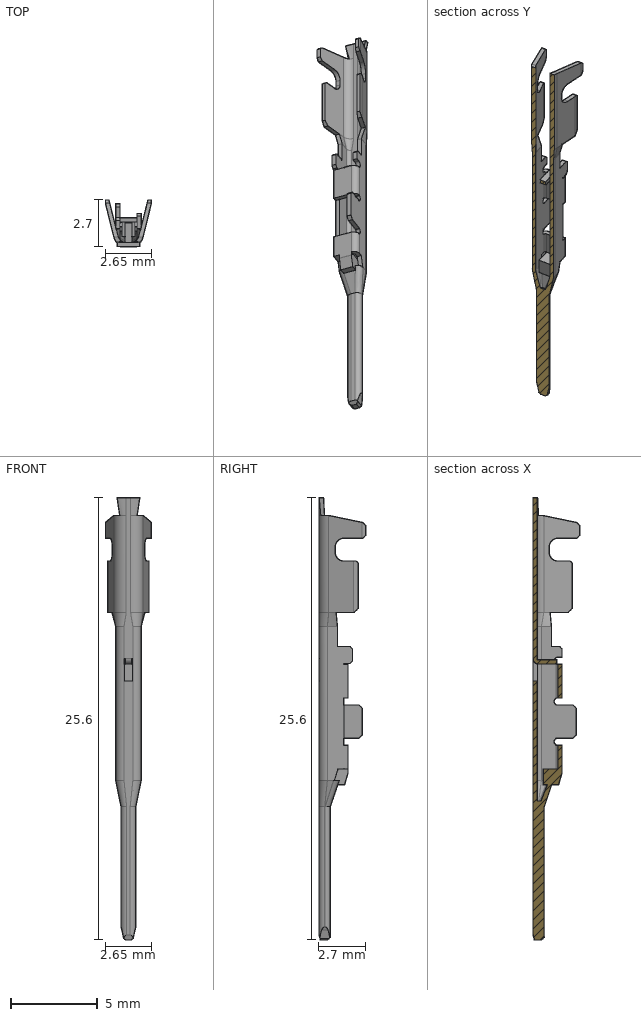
import cadquery as cq
import math


SHEET = 0.25
TOTAL_HEIGHT = 25.57
TOTAL_DEPTH = 2.7
TOTAL_WIDTH = 2.65
REACH = 5.11
DIAGONAL = math.sqrt(0.5)

TIP_TOP = 0.6
PIN_TOP = 7.72
TAPER_TOP = 9.23
BODY_TOP = 18.13
BARREL_BOTTOM = 18.92
BARREL_TOP = 24.55

PIN_FLAT = 0.1
PIN_RADIUS = 0.33
PIN_DEPTH = 0.66
PIN_BACK_RADIUS = 0.3
TIP_HALF_WIDTH = 0.28
TIP_END_HALF = 0.15
TIP_END_BEVEL = 0.1
TIP_FACET_RISE = 0.18
TIP_SHOULDER_INSET = 0.05
TIP_BACK_BEVEL = 0.18
TIP_FRONT_INSET = 0.08
TIP_FRONT_RISE = 0.3

BODY_FLAT = 0.25
BODY_RADIUS = 0.49
BODY_HALF = BODY_FLAT + BODY_RADIUS
TAPER_DEPTH = 1.18
TAPER_BACK_RADIUS = 0.33
TAPER_FLOOR = 8.05
HOLLOW_TIP_HALF = 0.15
HOLLOW_TIP_BACK = 0.45
HOLLOW_TIP_RADIUS = 0.08

WALL_LOW = 1.07
RELIEF_DEPTH = 1.23
RELIEF_HEIGHT = 0.38
ROOF_DEPTH = 1.7
ROOF_RADIUS = 0.35
ROOF_SPANS = [(9.9, 11.28), (13.99, 15.95)]
TALL_TAB_DEPTH = 2.5
TALL_TAB_CORNER = 0.2
SHORT_TAB_DEPTH = 1.95
SHORT_TAB_BOTTOM = 15.98
TAB_TOP = 16.98
TAB_CORNER = 0.15
WALL_FOOT_TOP = 1.1
WALL_FOOT_BOTTOM = 0.9

STOP_HALF = 0.38
STOP_FRONT = 0.6
STOP_BOTTOM = 8.98
STOP_STRAIGHT = 0.23
STOP_END_DEPTH = 1.48

WINDOW_BOTTOM = 14.98
WINDOW_TOP = 16.25
WINDOW_HALF = 0.23
LANCE_HALF = 0.192
LANCE_DEPTH = 1.38
LANCE_RADIUS = 0.3

BARREL_FLAT = 0.13
BARREL_RADIUS = 0.75
BARREL_LEAN = 14.0
NECK_DEPTH = 1.0
WING_BOTTOM = 23.22
WING_TIP_TOP = 24.15
WING_CORNER = 0.18
GRIP_TOP = 21.91
GRIP_DEPTH = 2.28
GRIP_HALF_WIDTH = 1.2
GRIP_LOWER_CORNER = 0.25
GRIP_UPPER_CORNER = 0.13
NOTCH_DEPTH = 0.95
NOTCH_RADIUS = 0.49

FLARE_BASE_HALF = 0.5
FLARE_TOP_HALF = 0.66
FLARE_TOP_RADIUS = 7.67


def channel(z, flat, radius, sweep, wall_depth=0.0):
    """Closed sketch of a bent strip of sheet: front flat, two arcs, optional walls up to wall_depth."""
    angle = math.radians(sweep)

    def arc_point(r, turn):
        return (flat + r * math.sin(turn), radius - r * math.cos(turn))

    inner_radius = radius - SHEET
    outer_end = arc_point(radius, angle)
    inner_end = arc_point(inner_radius, angle)

    def wall_top(start):
        rise = wall_depth - start[1]
        return (start[0] + rise / math.tan(angle), wall_depth)

    def mirror(point):
        return (-point[0], point[1])

    outer_mid = arc_point(radius, angle / 2)
    inner_mid = arc_point(inner_radius, angle / 2)
    sketch = cq.Workplane("XY", origin=(0, 0, z)).moveTo(-flat, 0).lineTo(flat, 0)
    sketch = sketch.threePointArc(outer_mid, outer_end)
    if wall_depth:
        sketch = sketch.lineTo(*wall_top(outer_end)).lineTo(*wall_top(inner_end))
    sketch = sketch.lineTo(*inner_end).threePointArc(inner_mid, (flat, SHEET)).lineTo(-flat, SHEET)
    sketch = sketch.threePointArc(mirror(inner_mid), mirror(inner_end))
    if wall_depth:
        sketch = sketch.lineTo(*mirror(wall_top(inner_end))).lineTo(*mirror(wall_top(outer_end)))
    sketch = sketch.lineTo(*mirror(outer_end)).threePointArc(mirror(outer_mid), (-flat, 0))
    return sketch.close()


def rounded_box(z, flat, front_radius, depth, back_radius, front=0.0):
    """Closed sketch of a box with its own corner radii at the front and the back."""
    half = flat + front_radius
    back_flat = half - back_radius
    front_side = front + front_radius
    back_side = depth - back_radius
    front_mid = (flat + front_radius * DIAGONAL, front_side - front_radius * DIAGONAL)
    back_mid = (back_flat + back_radius * DIAGONAL, back_side + back_radius * DIAGONAL)
    return (
        cq.Workplane("XY", origin=(0, 0, z))
        .moveTo(-flat, front)
        .lineTo(flat, front)
        .threePointArc(front_mid, (half, front_side))
        .lineTo(half, back_side)
        .threePointArc(back_mid, (back_flat, depth))
        .lineTo(-back_flat, depth)
        .threePointArc((-back_mid[0], back_mid[1]), (-half, back_side))
        .lineTo(-half, front_side)
        .threePointArc((-front_mid[0], front_mid[1]), (-flat, front))
        .close()
    )


def loft(lower, upper):
    """Ruled solid between two closed sketches."""
    wires = [sketch.wires().val() for sketch in (lower, upper)]
    return cq.Workplane(cq.Solid.makeLoft(wires, True))


def side_block(outline, x_start, x_end):
    """Block with a (y, z) outline that runs from x_start to x_end."""
    sketch = cq.Workplane("YZ", origin=(x_start, 0, 0)).polyline(outline).close()
    return sketch.extrude(x_end - x_start)


def block(x_range, y_range, z_range):
    """Axis-aligned box between pairs of limits."""
    spans = [high - low for low, high in (x_range, y_range, z_range)]
    corner = (x_range[0], y_range[0], z_range[0])
    return cq.Workplane("XY").box(*spans, centered=False).translate(corner)


def make_pin():
    pin = rounded_box(0, PIN_FLAT, PIN_RADIUS, PIN_DEPTH, PIN_BACK_RADIUS).extrude(PIN_TOP)
    half = PIN_FLAT + PIN_RADIUS
    right_edge = [
        (TIP_END_HALF, 0), (TIP_HALF_WIDTH, TIP_END_BEVEL), (half - TIP_SHOULDER_INSET, TIP_TOP),
        (half, TIP_TOP + TIP_FACET_RISE), (half, PIN_TOP),
    ]
    left_edge = [(-x, z) for x, z in reversed(right_edge)]
    bevelled_sides = cq.Workplane("XZ").polyline(right_edge + left_edge).close().extrude(-REACH)
    side_outline = [
        (TIP_FRONT_INSET, 0), (PIN_DEPTH - TIP_BACK_BEVEL, 0), (PIN_DEPTH, TIP_BACK_BEVEL),
        (PIN_DEPTH, PIN_TOP), (0, PIN_TOP), (0, TIP_FRONT_RISE),
    ]
    return pin.intersect(bevelled_sides).intersect(side_block(side_outline, -REACH, REACH))


def make_taper():
    outside = loft(
        rounded_box(PIN_TOP, PIN_FLAT, PIN_RADIUS, PIN_DEPTH, PIN_BACK_RADIUS),
        rounded_box(TAPER_TOP, BODY_FLAT, BODY_RADIUS, TAPER_DEPTH, TAPER_BACK_RADIUS),
    )
    hollow = loft(
        rounded_box(TAPER_FLOOR, HOLLOW_TIP_HALF - HOLLOW_TIP_RADIUS, HOLLOW_TIP_RADIUS,
                    HOLLOW_TIP_BACK, HOLLOW_TIP_RADIUS, SHEET),
        rounded_box(TAPER_TOP, BODY_FLAT, BODY_RADIUS - SHEET, TAPER_DEPTH - SHEET,
                    TAPER_BACK_RADIUS - SHEET, SHEET),
    )
    return outside.cut(hollow)


def tab_outline(bottom, top, root_depth, depth, corner):
    """Points of a tab with cut corners that rises from root_depth, listed from top to bottom."""
    return [(root_depth, top), (depth - corner, top), (depth, top - corner),
            (depth, bottom + corner), (depth - corner, bottom), (root_depth, bottom)]


def make_body():
    outer_channel = channel(TAPER_TOP, BODY_FLAT, BODY_RADIUS, 90, REACH).extrude(BODY_TOP - TAPER_TOP)
    (lower_start, lower_end), (upper_start, upper_end) = ROOF_SPANS
    roof_root = ROOF_DEPTH - ROOF_RADIUS
    wall_under_roof = ROOF_DEPTH - SHEET
    relief_bottoms = [lower_end, upper_start - RELIEF_HEIGHT, upper_end]
    tall_tab_bottom = lower_end + RELIEF_HEIGHT
    tall_tab_top = upper_start - RELIEF_HEIGHT

    head = [(0, TAPER_TOP), (0, BODY_TOP), (WALL_LOW, BODY_TOP), (WALL_LOW, TAB_TOP)]
    foot = [(WALL_FOOT_TOP, lower_start), (WALL_FOOT_BOTTOM, TAPER_TOP)]
    catch = tab_outline(upper_end, TAB_TOP, roof_root, ROOF_DEPTH, TAB_CORNER)
    tall_tab = tab_outline(tall_tab_bottom, tall_tab_top, roof_root, TALL_TAB_DEPTH, TALL_TAB_CORNER)
    short_tab = tab_outline(SHORT_TAB_BOTTOM, TAB_TOP, wall_under_roof, SHORT_TAB_DEPTH, TAB_CORNER)
    left_outline = head + catch + tall_tab + [(roof_root, lower_start)] + foot
    right_outline = head + short_tab + [(wall_under_roof, lower_start)] + foot

    left_wall = outer_channel.intersect(side_block(left_outline, -REACH, 0))
    for bottom in relief_bottoms:
        left_wall = left_wall.cut(make_relief(bottom))
    right_wall = outer_channel.intersect(side_block(right_outline, 0, REACH))
    body = left_wall.union(right_wall)
    for start, end in ROOF_SPANS:
        body = body.union(make_roof(start, end))
    return add_lance(body.union(make_stop(lower_start)))


def make_relief(bottom):
    """Round-ended notch through the left wall, open at the back."""
    radius = RELIEF_HEIGHT / 2
    centre = (RELIEF_DEPTH + radius, bottom + radius)
    round_end = cq.Workplane("YZ", origin=(-REACH, 0, 0)).center(*centre).circle(radius).extrude(REACH)
    return round_end.union(block((-REACH, 0), (centre[0], REACH), (bottom, bottom + RELIEF_HEIGHT)))


def make_stop(top):
    outline = [
        (STOP_FRONT, STOP_BOTTOM), (STOP_END_DEPTH, STOP_BOTTOM), (ROOF_DEPTH, top - STOP_STRAIGHT),
        (ROOF_DEPTH, top), (STOP_FRONT, top),
    ]
    return side_block(outline, -STOP_HALF, STOP_HALF)


def make_roof(start, end):
    """Top of the left wall folded over the edge of the right wall."""
    roof_root = ROOF_DEPTH - ROOF_RADIUS
    inner_half = BODY_HALF - SHEET
    bend_x = ROOF_RADIUS - BODY_HALF

    def bend_mid(radius):
        return (bend_x - radius * DIAGONAL, roof_root + radius * DIAGONAL)

    sketch = (
        cq.Workplane("XY", origin=(0, 0, start))
        .moveTo(-BODY_HALF, roof_root)
        .threePointArc(bend_mid(ROOF_RADIUS), (bend_x, ROOF_DEPTH))
        .lineTo(BODY_HALF, ROOF_DEPTH)
        .lineTo(BODY_HALF, ROOF_DEPTH - SHEET)
        .lineTo(bend_x, ROOF_DEPTH - SHEET)
        .threePointArc(bend_mid(ROOF_RADIUS - SHEET), (-inner_half, roof_root))
        .close()
    )
    return sketch.extrude(end - start)


def add_lance(body):
    window = block((-WINDOW_HALF, WINDOW_HALF), (-SHEET, 2 * SHEET), (WINDOW_BOTTOM, WINDOW_TOP))
    tongue_bottom = WINDOW_TOP - LANCE_RADIUS
    tongue_top = tongue_bottom + SHEET
    bend_offset = LANCE_RADIUS * (1 - DIAGONAL)
    tongue = (
        cq.Workplane("YZ", origin=(-LANCE_HALF, 0, 0))
        .moveTo(0, WINDOW_TOP)
        .threePointArc((bend_offset, tongue_bottom + bend_offset), (LANCE_RADIUS, tongue_bottom))
        .lineTo(LANCE_DEPTH, tongue_bottom)
        .lineTo(LANCE_DEPTH, tongue_top)
        .lineTo(SHEET, tongue_top)
        .lineTo(SHEET, WINDOW_TOP)
        .close()
        .extrude(2 * LANCE_HALF)
    )
    return body.cut(window).union(tongue)


def make_neck():
    sweep = 90 - BARREL_LEAN
    return loft(
        channel(BODY_TOP, BODY_FLAT, BODY_RADIUS, 90, WALL_LOW),
        channel(BARREL_BOTTOM, BARREL_FLAT, BARREL_RADIUS, sweep, NECK_DEPTH),
    )


def make_barrel():
    sweep = 90 - BARREL_LEAN
    barrel = channel(BARREL_BOTTOM, BARREL_FLAT, BARREL_RADIUS, sweep, REACH)
    barrel = barrel.extrude(BARREL_TOP - BARREL_BOTTOM)
    slope_start = BARREL_RADIUS * (1 - math.sin(math.radians(BARREL_LEAN)))
    outline = [
        (0, BARREL_BOTTOM), (0, BARREL_TOP), (slope_start, BARREL_TOP),
        (TOTAL_DEPTH - WING_CORNER, WING_TIP_TOP), (TOTAL_DEPTH, WING_TIP_TOP - WING_CORNER),
        (TOTAL_DEPTH, WING_BOTTOM + WING_CORNER), (TOTAL_DEPTH - WING_CORNER, WING_BOTTOM),
        (NOTCH_DEPTH, WING_BOTTOM), (NOTCH_DEPTH, GRIP_TOP),
        (GRIP_DEPTH - GRIP_UPPER_CORNER, GRIP_TOP), (GRIP_DEPTH, GRIP_TOP - GRIP_UPPER_CORNER),
        (GRIP_DEPTH, BARREL_BOTTOM + GRIP_LOWER_CORNER), (GRIP_DEPTH - GRIP_LOWER_CORNER, BARREL_BOTTOM),
    ]
    side_shape = side_block(outline, -REACH, REACH)
    margin = SHEET / 10
    notch_corners = cq.selectors.BoxSelector(
        (-REACH, NOTCH_DEPTH - margin, GRIP_TOP - margin),
        (REACH, NOTCH_DEPTH + margin, WING_BOTTOM + margin),
    )
    side_shape = side_shape.edges("|X").edges(notch_corners).fillet(NOTCH_RADIUS)

    notch_middle = (GRIP_TOP + WING_BOTTOM) / 2
    wing_half = TOTAL_WIDTH / 2
    wing_limit = block((-wing_half, wing_half), (0, TOTAL_DEPTH), (notch_middle, BARREL_TOP))
    grip_limit = block((-GRIP_HALF_WIDTH, GRIP_HALF_WIDTH), (0, TOTAL_DEPTH), (BARREL_BOTTOM, notch_middle))
    return barrel.intersect(side_shape).intersect(wing_limit.union(grip_limit))


def make_flare():
    def sweep_to(half_width, radius):
        return math.degrees(math.asin((half_width - BARREL_FLAT) / radius))

    return loft(
        channel(BARREL_TOP, BARREL_FLAT, BARREL_RADIUS, sweep_to(FLARE_BASE_HALF, BARREL_RADIUS)),
        channel(TOTAL_HEIGHT, BARREL_FLAT, FLARE_TOP_RADIUS, sweep_to(FLARE_TOP_HALF, FLARE_TOP_RADIUS)),
    )


result = make_pin()
for section in (make_taper(), make_body(), make_neck(), make_barrel(), make_flare()):
    result = result.union(section)